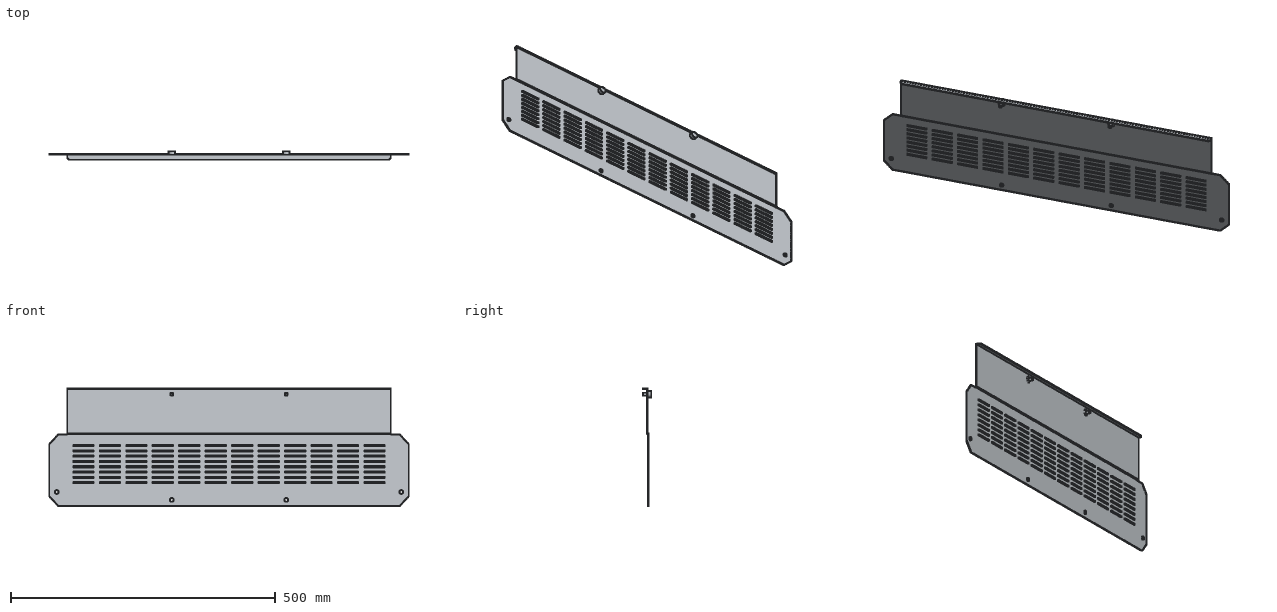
import cadquery as cq

sheet = 2.0
overall_height = 223.0

panel_width = 679.0
panel_height = 135.0
corner_cut_x = 17.0
corner_cut_z = 18.0

upper_width = 611.0
upper_front = -sheet
joggle_bevel = 1.7

flange_reach = 7.5
flange_corner_cut = 3.5

slot_columns = 12
slot_rows = 8
slot_length = 38.0
slot_height = 2.0
slot_field_x = 550.0
slot_field_z = 70.0
slot_bottom_row_z = 44.0

hole_diameter = 7.0
bottom_hole_z = 11.5
end_hole_spacing = 650.5
end_hole_z = 26.5

fastener_spacing = 216.0
fastener_z = overall_height - 11.5
head_diameter = 13.0
head_length = 7.0
pin_diameter = 6.0
pin_length = flange_reach
pin_tip_chamfer = 1.0


def block(width, y_min, y_max, z_min, z_max):
    """Box centred on X = 0 between the given Y and Z limits."""
    base = cq.Workplane("XY", origin=(0, y_min, z_min))
    return base.box(width, y_max - y_min, z_max - z_min, centered=(True, False, False))


def cylinder(x, z, diameter, y_min, y_max):
    """Cylinder along Y between the given Y limits."""
    disc = cq.Workplane("XZ", origin=(x, y_max, z)).circle(diameter / 2)
    return disc.extrude(y_max - y_min)


def grille_panel():
    """Flat panel with its four corners cut off."""
    half_width = panel_width / 2
    inner_x = half_width - corner_cut_x
    inner_z = panel_height - corner_cut_z
    outline = [
        (-inner_x, 0),
        (inner_x, 0),
        (half_width, corner_cut_z),
        (half_width, inner_z),
        (inner_x, panel_height),
        (-inner_x, panel_height),
        (-half_width, inner_z),
        (-half_width, corner_cut_z),
    ]
    return cq.Workplane("XZ", origin=(0, sheet, 0)).polyline(outline).close().extrude(sheet)


def upper_panel():
    """Forward wall and the joggle that joins it to the grille panel."""
    wall = block(upper_width, upper_front, 0, panel_height, overall_height)
    joggle = block(upper_width, upper_front, sheet, panel_height, panel_height + sheet)
    lower_front_edge = "|X and <Y and <Z"
    return wall.union(joggle).edges(lower_front_edge).chamfer(joggle_bevel)


def top_flange():
    """Forward fold with its two front corners cut off."""
    flange = block(upper_width, upper_front - flange_reach, 0, overall_height - sheet, overall_height)
    return flange.edges("|Z and <Y").chamfer(flange_corner_cut)


def fastener(x):
    """Round head behind the upper panel and a pin in front of it."""
    head = cylinder(x, fastener_z, head_diameter, 0, head_length)
    pin = cylinder(x, fastener_z, pin_diameter, upper_front - pin_length, 0)
    return head.union(pin.faces("<Y").chamfer(pin_tip_chamfer))


def vent_slots():
    """Grid of rectangular cutters through the grille panel."""
    pitch_x = slot_field_x / (slot_columns - 1)
    pitch_z = slot_field_z / (slot_rows - 1)
    field_centre_z = slot_bottom_row_z + slot_field_z / 2
    return (
        cq.Workplane("XZ", origin=(0, sheet, field_centre_z))
        .rarray(pitch_x, pitch_z, slot_columns, slot_rows)
        .rect(slot_length, slot_height)
        .extrude(sheet)
    )


result = grille_panel().union(upper_panel()).union(top_flange()).cut(vent_slots())

for side in (-1, 1):
    fastener_x = side * fastener_spacing / 2
    end_hole_x = side * end_hole_spacing / 2
    result = result.union(fastener(fastener_x))
    result = result.cut(cylinder(fastener_x, bottom_hole_z, hole_diameter, 0, sheet))
    result = result.cut(cylinder(end_hole_x, end_hole_z, hole_diameter, 0, sheet))